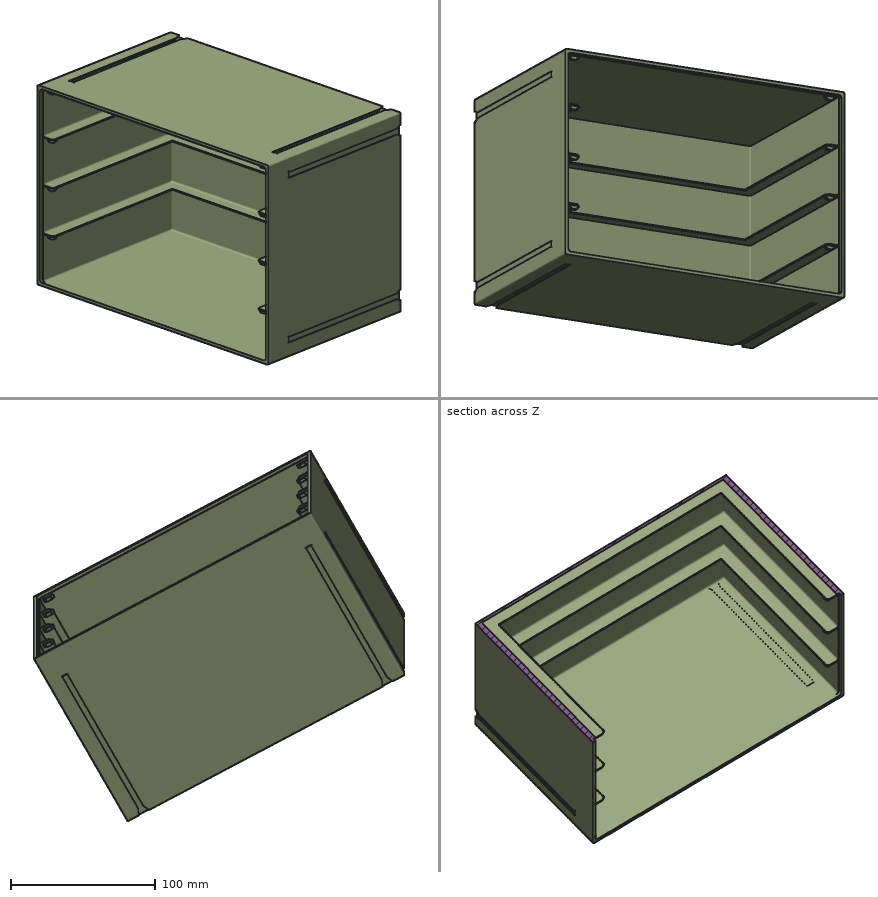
import cadquery as cq
width = 219.18
depth = 134.4
height = 149.28
outer_radius = 1.4
wall = 2.4
back_wall = 1.4

mouth_depth = 2.4
mouth_radius = 2.4

lining = 0.9

level_count = 4
ledge_width = 9.2
ledge_tip_chamfer = 2.0
floor_fillet = 1.5
corner_fillet = 1.0

stop_inset = 9.1
stop_drop = 2.4
stop_base = 8.0
stop_tip = 4.0
stop_length = 2.4
stop_setback = 1.5

groove_inset = 13.1
groove_width = 4.0
groove_depth = 1.6
groove_undercut = 1.2
groove_length = 113.7
flare_width = 8.0
flare_length = 5.0

front_y = -depth / 2
back_y = depth / 2
ledge_front_y = front_y + mouth_depth
inner_back_y = back_y - back_wall
mouth_half_width = width / 2 - wall
mouth_bottom_z = -height / 2 + wall
mouth_top_z = height / 2 - wall
cell_half_width = mouth_half_width - lining
level_pitch = (mouth_top_z - mouth_bottom_z) / level_count
cell_height = level_pitch - lining
cell_floors = [mouth_bottom_z + level * level_pitch for level in range(level_count)]


def block(half_width, y_start, y_end, z_bottom, z_top):
    """Block symmetric about X = 0 between the given Y and Z limits."""
    size = (2 * half_width, y_end - y_start, z_top - z_bottom)
    return cq.Workplane("XY").box(*size, centered=(True, False, False)).translate((0, y_start, z_bottom))


def cut_mouth(body):
    """Open the front with a shallow rounded rim recess."""
    mouth = block(mouth_half_width, front_y, ledge_front_y, mouth_bottom_z, mouth_top_z)
    return body.cut(mouth.edges("|Y").fillet(mouth_radius))


def make_ledge_opening():
    """Space between the ledge arms, widened at the front to chamfer the arm tips."""
    half_width = cell_half_width - ledge_width
    entry_half_width = half_width + ledge_tip_chamfer
    opening_back_y = inner_back_y - ledge_width
    return (
        cq.Workplane("XY", origin=(0, 0, mouth_bottom_z))
        .moveTo(-entry_half_width, ledge_front_y)
        .lineTo(-half_width, ledge_front_y + ledge_tip_chamfer)
        .lineTo(-half_width, opening_back_y)
        .lineTo(half_width, opening_back_y)
        .lineTo(half_width, ledge_front_y + ledge_tip_chamfer)
        .lineTo(entry_half_width, ledge_front_y)
        .close()
        .extrude(level_count * level_pitch - lining)
    )


def cut_levels(body):
    """Hollow one cell per drawer level, then open the ledges between them into U shapes."""
    for floor_z in cell_floors:
        cell = block(cell_half_width, ledge_front_y, inner_back_y, floor_z, floor_z + cell_height)
        cell = cell.edges("|Z and >Y").fillet(corner_fillet)
        cell = cell.faces("<Z").edges("not <Y").fillet(floor_fillet)
        body = body.cut(cell)
    return body.cut(make_ledge_opening())


def add_stops(body):
    """Hang a pair of drawer stops near the front of every level."""
    stop_front_y = ledge_front_y + stop_setback
    for floor_z in cell_floors:
        for side in (-1, 1):
            stop_x = side * (width / 2 - stop_inset)
            stop = (
                cq.Workplane("XZ", origin=(stop_x, stop_front_y, floor_z + cell_height))
                .moveTo(-stop_base / 2, 0)
                .lineTo(-stop_tip / 2, -stop_drop)
                .lineTo(stop_tip / 2, -stop_drop)
                .lineTo(stop_base / 2, 0)
                .close()
                .extrude(-stop_length)
            )
            body = body.union(stop)
    return body


def dovetail_section(y, mouth_width):
    """Dovetail outline across the groove at the given Y, with its narrow mouth at Z = 0."""
    half_mouth = mouth_width / 2
    half_floor = half_mouth + groove_undercut
    return [
        cq.Vector(-half_mouth, y, 0),
        cq.Vector(half_mouth, y, 0),
        cq.Vector(half_floor, y, -groove_depth),
        cq.Vector(-half_floor, y, -groove_depth),
    ]


def loft_dovetail(front_section, back_section):
    """Straight-sided solid between two dovetail outlines."""
    wires = [cq.Wire.makePolygon(section, close=True) for section in (front_section, back_section)]
    return cq.Workplane(obj=cq.Solid.makeLoft(wires, True))


def make_groove():
    """Groove volume along Y, with its mouth at Z = 0 and its centre line at X = 0."""
    front_end = dovetail_section(back_y - groove_length, groove_width)
    flare_start = dovetail_section(back_y - flare_length, groove_width)
    flare_end = dovetail_section(back_y, flare_width)
    return loft_dovetail(front_end, flare_start).union(loft_dovetail(flare_start, flare_end))


def cut_grooves(body):
    """Sink two grooves into each of the four outer faces that surround the Y axis."""
    quarter_turn = 90
    for quarter in range(4):
        on_side_wall = quarter % 2 == 1
        face_distance = width / 2 if on_side_wall else height / 2
        face_half_span = height / 2 if on_side_wall else width / 2
        for side in (-1, 1):
            groove = make_groove().translate((side * (face_half_span - groove_inset), 0, face_distance))
            body = body.cut(groove.rotate((0, 0, 0), (0, 1, 0), quarter * quarter_turn))
    return body


housing = cq.Workplane("XY").box(width, depth, height).edges("|Y").fillet(outer_radius)
housing = cut_mouth(housing)
housing = cut_levels(housing)
housing = add_stops(housing)
result = cut_grooves(housing)